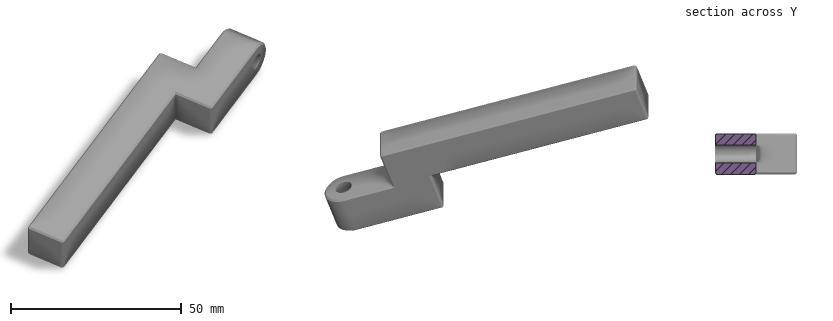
import cadquery as cq

bar = 12.0
total_length = 100.0
handle_length = 79.0
edge_chamfer = 0.5
pin_diameter = 5.0

step_y = handle_length - bar
end_radius = bar / 2
pin_y = total_length - end_radius


def make_handle():
    """Straight square bar from the free end to the step."""
    return cq.Workplane("XY").box(bar, handle_length, bar, centered=False)


def make_lug():
    """Offset bar beside the handle with a half-round end about the X axis."""
    return (
        cq.Workplane("YZ", origin=(bar, 0, 0))
        .moveTo(step_y, 0)
        .lineTo(pin_y, 0)
        .threePointArc((total_length, end_radius), (pin_y, bar))
        .lineTo(step_y, bar)
        .close()
        .extrude(bar)
    )


def make_pin_hole():
    """Cutter for the pin hole, concentric with the rounded end."""
    return (
        cq.Workplane("YZ", origin=(bar, pin_y, bar / 2))
        .circle(pin_diameter / 2)
        .extrude(bar)
    )


body = make_handle().union(make_lug()).clean()

margin = 0.1
inner_corners = cq.selectors.BoxSelector(
    (bar - margin, step_y - margin, edge_chamfer),
    (bar + margin, handle_length + margin, bar - edge_chamfer),
)
body = body.edges(cq.selectors.InverseSelector(inner_corners)).chamfer(edge_chamfer)
result = body.cut(make_pin_hole())